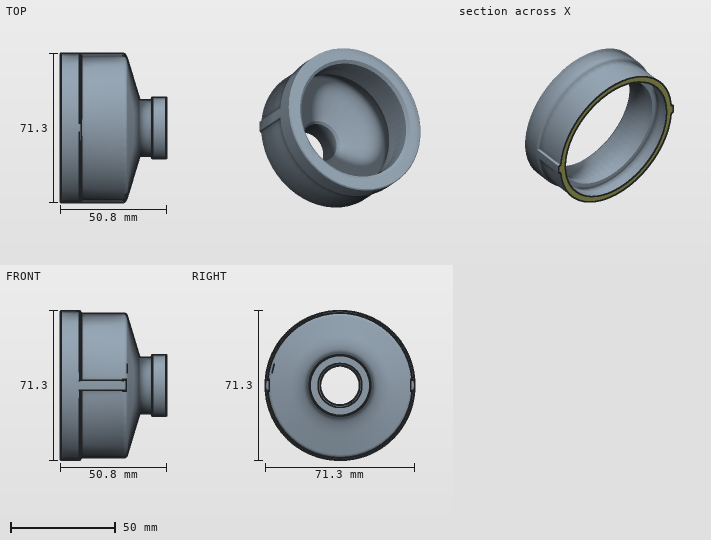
import cadquery as cq
import math


total_length = 50.8
band_diameter = 71.3
body_diameter = 69.0
neck_diameter = 27.0
collar_diameter = 29.3

band_end = 9.22
step_run = 0.9
collar_start = 43.6

cone_angle = math.radians(16.8)
body_round = 2.2
body_straight_end = 29.9

rim_chamfer = 0.5
collar_chamfer = 0.4
step_fillet = 0.3
neck_fillet = 0.4

rib_width = 4.8
rib_start = 8.0
rib_base_radius = 33.0
rib_end = 31.5
rib_end_round = 2.1
rib_foot_fillet = 0.45
rib_edge_round = 0.25

wide_mouth_diameter = 59.6
wide_bore_diameter = 56.66
wide_bore_depth = 18.4
cavity_diameter = 62.6
cavity_straight_end = 27.4
cavity_round = 1.9

cavity_cone_end_diameter = 21.4
narrow_mouth_diameter = 20.95
narrow_bore_diameter = 18.63


def radial_drop(radius):
    """Radius lost while a rounding turns from along X onto the cone."""
    return radius * (1 - math.sin(cone_angle))


def axial_run(radius):
    """Length along X of a rounding that turns from along X onto the cone."""
    return radius * math.cos(cone_angle)


def rounding_to_cone(start_x, start_radius, round_radius):
    """Middle and end points of the arc from a cylinder onto the cone."""
    half_turn = (math.pi / 2 - cone_angle) / 2
    middle = (
        start_x + round_radius * math.sin(half_turn),
        start_radius - round_radius * (1 - math.cos(half_turn)),
    )
    end = (
        start_x + axial_run(round_radius),
        start_radius - radial_drop(round_radius),
    )
    return middle, end


def revolve_about_x(profile):
    return profile.close().revolve(360, (0, 0, 0), (1, 0, 0))


def make_outer_body():
    band_radius = band_diameter / 2
    body_radius = body_diameter / 2
    neck_radius = neck_diameter / 2
    collar_radius = collar_diameter / 2
    round_middle, round_end = rounding_to_cone(body_straight_end, body_radius, body_round)

    step_slope = math.atan2(band_radius - body_radius, step_run)
    step_tangent = step_fillet * math.tan(step_slope / 2)
    tangent_run = step_tangent * math.cos(step_slope)
    tangent_drop = step_tangent * math.sin(step_slope)
    step_end = band_end + step_run

    cone_end = round_end[0] + (round_end[1] - neck_radius) * math.tan(cone_angle)
    neck_tangent = neck_fillet * math.tan((math.pi / 2 - cone_angle) / 2)
    cone_fillet_start = (
        cone_end - neck_tangent * math.sin(cone_angle),
        neck_radius + neck_tangent * math.cos(cone_angle),
    )

    profile = (
        cq.Workplane("XY")
        .lineTo(0, band_radius - rim_chamfer)
        .lineTo(rim_chamfer, band_radius)
        .lineTo(band_end - step_tangent, band_radius)
        .radiusArc((band_end + tangent_run, band_radius - tangent_drop), step_fillet)
        .lineTo(step_end - tangent_run, body_radius + tangent_drop)
        .radiusArc((step_end + step_tangent, body_radius), -step_fillet)
        .lineTo(body_straight_end, body_radius)
        .threePointArc(round_middle, round_end)
        .lineTo(*cone_fillet_start)
        .radiusArc((cone_end + neck_tangent, neck_radius), -neck_fillet)
        .lineTo(collar_start - neck_fillet, neck_radius)
        .radiusArc((collar_start, neck_radius + neck_fillet), -neck_fillet)
        .lineTo(collar_start, collar_radius - collar_chamfer)
        .lineTo(collar_start + collar_chamfer, collar_radius)
        .lineTo(total_length - collar_chamfer, collar_radius)
        .lineTo(total_length, collar_radius - collar_chamfer)
        .lineTo(total_length, 0)
    )
    return revolve_about_x(profile)


def make_rib_sleeve():
    """Solid of revolution that limits the ribs: the band's radius, rounded off at the end."""
    rib_radius = band_diameter / 2
    return revolve_about_x(
        cq.Workplane("XY")
        .moveTo(rib_start, 0)
        .lineTo(rib_start, rib_radius)
        .lineTo(rib_end - rib_end_round, rib_radius)
        .radiusArc((rib_end, rib_radius - rib_end_round), rib_end_round)
        .lineTo(rib_end, 0)
    )


def make_rib_strip():
    """Bar along X on the +Y side with flared feet and rounded edges.

    Its middle stands above the rib's final radius, to be trimmed by the sleeve.
    """
    half_width = rib_width / 2
    foot = half_width + rib_foot_fillet
    crest = half_width - rib_edge_round
    foot_height = math.sqrt((body_diameter / 2) ** 2 - foot ** 2)
    crest_height = math.sqrt((band_diameter / 2) ** 2 - crest ** 2)
    over_height = band_diameter / 2 + rib_edge_round
    section = (
        cq.Workplane("YZ", origin=(rib_start, 0, 0))
        .moveTo(rib_base_radius, foot)
        .lineTo(foot_height, foot)
        .radiusArc((foot_height + rib_foot_fillet, half_width), -rib_foot_fillet)
        .lineTo(crest_height - rib_edge_round, half_width)
        .radiusArc((crest_height, crest), rib_edge_round)
        .lineTo(over_height, crest)
        .lineTo(over_height, 0)
        .lineTo(rib_base_radius, 0)
        .close()
    )
    half_strip = section.extrude(rib_end - rib_start)
    return half_strip.union(half_strip.mirror("XY"))


def make_ribs():
    rib = make_rib_strip().intersect(make_rib_sleeve())
    return rib.union(rib.mirror("XZ"))


def make_cavity():
    wide_mouth_radius = wide_mouth_diameter / 2
    wide_bore_radius = wide_bore_diameter / 2
    cavity_radius = cavity_diameter / 2
    cone_end_radius = cavity_cone_end_diameter / 2
    narrow_mouth_radius = narrow_mouth_diameter / 2
    narrow_bore_radius = narrow_bore_diameter / 2
    mouth_chamfer = wide_mouth_radius - wide_bore_radius
    narrow_chamfer = narrow_mouth_radius - narrow_bore_radius
    round_middle, round_end = rounding_to_cone(cavity_straight_end, cavity_radius, cavity_round)
    cavity_end = round_end[0] + (round_end[1] - cone_end_radius) * math.tan(cone_angle)
    profile = (
        cq.Workplane("XY")
        .lineTo(0, wide_mouth_radius)
        .lineTo(mouth_chamfer, wide_bore_radius)
        .lineTo(wide_bore_depth, wide_bore_radius)
        .lineTo(wide_bore_depth, cavity_radius)
        .lineTo(cavity_straight_end, cavity_radius)
        .threePointArc(round_middle, round_end)
        .lineTo(cavity_end, cone_end_radius)
        .lineTo(cavity_end, narrow_mouth_radius)
        .lineTo(cavity_end + narrow_chamfer, narrow_bore_radius)
        .lineTo(total_length - narrow_chamfer, narrow_bore_radius)
        .lineTo(total_length, narrow_mouth_radius)
        .lineTo(total_length, 0)
    )
    return revolve_about_x(profile)


result = make_outer_body().union(make_ribs()).cut(make_cavity())